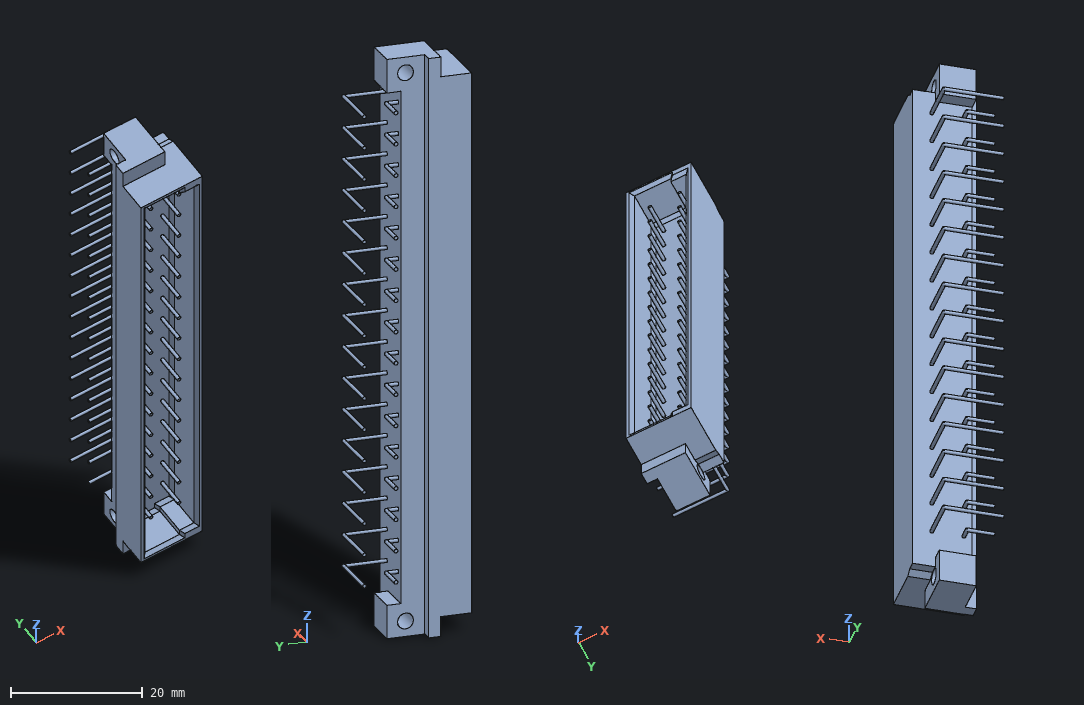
import cadquery as cq

length = 94.0
total_width = 12.4
total_depth = 18.05

body_left = 1.2
body_end_setback = 3.2
body_rear = 10.8
left_step = 1.8
left_step_y = 7.0
rear_taper_start = 8.1
rear_taper_end = 9.2
rear_taper_drop = 0.7

ear_front = 5.0
ear_rear = 13.1
ear_right = 8.8
ear_height = 5.45
hole_diameter = 2.5
hole_inset = 2.5
hole_y = 10.1

rim = 0.6
cavity_step_x = 9.2
cavity_step_drop = 1.0
bevel = 0.6
cavity_depth = 6.6

pin_diameter = 0.6
pin_radius = pin_diameter / 2
pin_count = 16
pin_pitch = 5.1
pin_shift = pin_pitch / 4
pin_tip_y = 1.9
inner_pin_x = 4.3
outer_pin_x = inner_pin_x + pin_pitch
outer_tail_y = total_depth - pin_radius
inner_tail_y = outer_tail_y - pin_pitch

half_length = length / 2
body_half = half_length - body_end_setback
step_x = body_left + left_step


def box(x0, x1, y0, y1, z0, z1):
    """Axis-aligned block given by its limits."""
    return cq.Workplane("XY").box(x1 - x0, y1 - y0, z1 - z0, centered=False).translate((x0, y0, z0))


def make_body():
    """Long block whose ends slope inward towards the rear."""
    rear_half = body_half - rear_taper_drop
    return (
        cq.Workplane("YZ", origin=(body_left, 0, 0))
        .moveTo(0, -body_half)
        .lineTo(rear_taper_start, -body_half)
        .lineTo(rear_taper_end, -rear_half)
        .lineTo(body_rear, -rear_half)
        .lineTo(body_rear, rear_half)
        .lineTo(rear_taper_end, rear_half)
        .lineTo(rear_taper_start, body_half)
        .lineTo(0, body_half)
        .close()
        .extrude(total_width - body_left)
    )


def make_upper_ear():
    return box(body_left, ear_right, ear_front, ear_rear, half_length - ear_height, half_length)


def cavity_section(inset, y):
    """Stepped cavity outline at depth y, shrunk inward by inset on every side."""
    left = body_left + rim + inset
    right = total_width - rim - inset
    step = cavity_step_x - inset
    tall = body_half - rim - inset
    short = tall - cavity_step_drop
    points = [
        (left, -tall), (step, -tall), (step, -short), (right, -short),
        (right, short), (step, short), (step, tall), (left, tall),
    ]
    return cq.Wire.makePolygon([cq.Vector(x, y, z) for x, z in points], close=True)


def make_cavity():
    """Straight-walled pocket between a mouth bevel and a floor bevel."""
    sections = [
        cavity_section(0, 0),
        cavity_section(bevel, bevel),
        cavity_section(bevel, cavity_depth - bevel),
        cavity_section(2 * bevel, cavity_depth),
    ]
    cavity = cq.Workplane()
    for front, rear in zip(sections, sections[1:]):
        cavity = cavity.add(cq.Solid.makeLoft([front, rear], True))
    return cavity.combine()


def make_pin(x, tail_y, z):
    """Right-angle contact: straight shank along Y, tail along X to X = 0, rounded at the corner."""
    path = cq.Workplane("XY", origin=(0, 0, z)).moveTo(x, pin_tip_y).lineTo(x, tail_y).lineTo(0, tail_y)
    return (
        cq.Workplane("XZ", origin=(x, pin_tip_y, z))
        .circle(pin_radius)
        .sweep(path, transition="round")
    )


upper_ear = make_upper_ear()
housing = make_body().union(upper_ear).union(upper_ear.mirror("XY"))
housing = housing.cut(box(body_left, step_x, left_step_y, ear_rear, -half_length, half_length))
housing = housing.cut(make_cavity())
hole_z = half_length - hole_inset
holes = (
    cq.Workplane("YZ")
    .pushPoints([(hole_y, -hole_z), (hole_y, hole_z)])
    .circle(hole_diameter / 2)
    .extrude(total_width)
)
result = housing.cut(holes)

for i in range(pin_count):
    pin_z = pin_shift + (i - (pin_count - 1) / 2) * pin_pitch
    result = result.union(make_pin(inner_pin_x, inner_tail_y, pin_z))
    result = result.union(make_pin(outer_pin_x, outer_tail_y, pin_z))